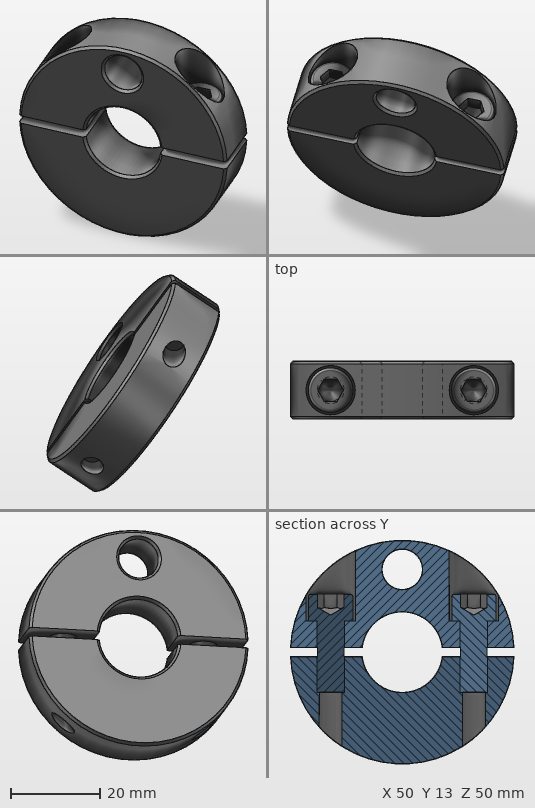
import cadquery as cq
import math

outer_diameter = 50.0
collar_width = 13.0
bore_diameter = 18.0
split_gap = 2.0
edge_chamfer = 0.6

cross_hole_diameter = 9.0
cross_hole_height = 18.5

screw_offset = 16.0
screw_positions = [-screw_offset, screw_offset]
shank_diameter = 6.0
shank_length = 16.0
head_diameter = 10.0
head_height = 6.0
head_fillet = 0.6
head_seat_height = 7.0
socket_across_flats = 5.0
socket_depth = 3.0
socket_cone_angle = 120.0

counterbore_diameter = 11.0
lower_exit_diameter = 5.0

head_top_height = head_seat_height + head_height
shank_end_height = head_seat_height - shank_length
outer_radius = outer_diameter / 2


def vertical_cylinder(x, diameter, bottom, top):
    """Cylinder along Z, centred at the given X."""
    return cq.Workplane("XY").center(x, 0).workplane(offset=bottom).circle(diameter / 2).extrude(top - bottom)


def chamfered_ring():
    """Full ring around the Y axis, with its bore and all its circular edges chamfered."""
    return (
        cq.Workplane("XZ")
        .circle(outer_radius)
        .circle(bore_diameter / 2)
        .extrude(collar_width / 2, both=True)
        .edges("%CIRCLE")
        .chamfer(edge_chamfer)
    )


def half_ring(side):
    """Part of the ring above (side = 1) or below (side = -1) the split gap."""
    keep_region = (
        cq.Workplane("XY")
        .workplane(offset=side * split_gap / 2)
        .rect(2 * outer_diameter, 2 * collar_width)
        .extrude(side * outer_diameter)
    )
    return chamfered_ring().intersect(keep_region)


def cross_hole_cutter():
    """Hole along Y that widens by the chamfer at both faces."""
    half_section = [
        (0, -collar_width / 2),
        (cross_hole_diameter / 2 + edge_chamfer, -collar_width / 2),
        (cross_hole_diameter / 2, -collar_width / 2 + edge_chamfer),
        (cross_hole_diameter / 2, collar_width / 2 - edge_chamfer),
        (cross_hole_diameter / 2 + edge_chamfer, collar_width / 2),
        (0, collar_width / 2),
    ]
    cutter = cq.Workplane("XY").polyline(half_section).close().revolve(360, (0, 0), (0, 1))
    return cutter.translate((0, 0, cross_hole_height))


def make_upper_half():
    """Half with the cross hole and the counterbored screw holes."""
    body = half_ring(1).cut(cross_hole_cutter())
    for x in screw_positions:
        body = body.cut(vertical_cylinder(x, shank_diameter, 0, head_seat_height))
        body = body.cut(vertical_cylinder(x, counterbore_diameter, head_seat_height, outer_radius))
    return body


def make_lower_half():
    """Half that holds the shanks; narrower holes run on from the shank ends to the outside."""
    body = half_ring(-1)
    for x in screw_positions:
        body = body.cut(vertical_cylinder(x, shank_diameter, shank_end_height, 0))
        body = body.cut(vertical_cylinder(x, lower_exit_diameter, -outer_radius, shank_end_height))
    return body


def socket_cutter(x):
    """Hexagonal socket whose floor is a cone reaching out to the corners of the hexagon."""
    corner_radius = socket_across_flats / math.sqrt(3)
    cone_depth = corner_radius / math.tan(math.radians(socket_cone_angle / 2))
    hexagon = (
        cq.Workplane("XY")
        .polygon(6, 2 * corner_radius)
        .extrude(-socket_depth - cone_depth)
    )
    pointed_round = (
        cq.Workplane("XZ")
        .moveTo(0, 0)
        .lineTo(corner_radius, 0)
        .lineTo(corner_radius, -socket_depth)
        .lineTo(0, -socket_depth - cone_depth)
        .close()
        .revolve(360, (0, 0), (0, 1))
    )
    return hexagon.intersect(pointed_round).translate((x, 0, head_top_height))


def make_screw(x):
    """Socket head screw with a rounded top edge."""
    head = vertical_cylinder(x, head_diameter, head_seat_height, head_top_height)
    head = head.faces(">Z").edges().fillet(head_fillet)
    shank = vertical_cylinder(x, shank_diameter, shank_end_height, head_seat_height)
    return head.union(shank).cut(socket_cutter(x))


upper_half = make_upper_half()
lower_half = make_lower_half()
screws = [make_screw(x) for x in screw_positions]

result = cq.Compound.makeCompound(
    [
        upper_half.val(),
        lower_half.val(),
        *[screw.val() for screw in screws],
    ]
)